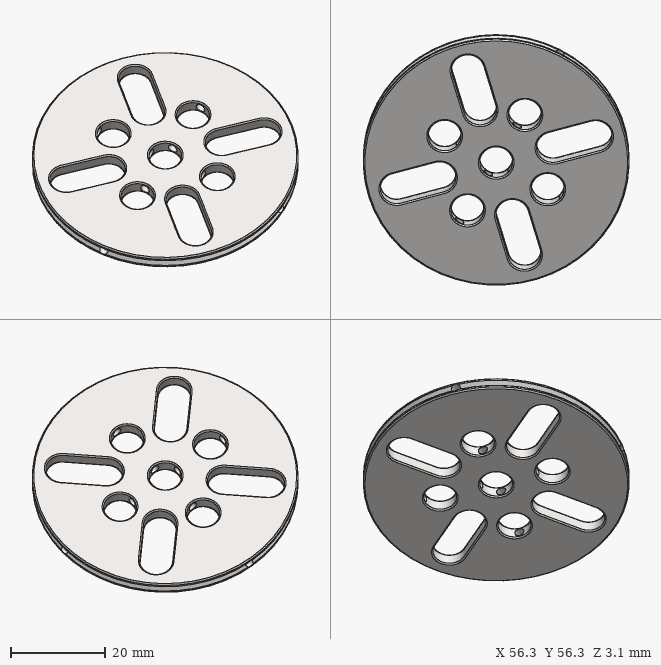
import cadquery as cq
import math

disc_diameter = 56.25
disc_thickness = 3.1
edge_chamfer = 0.3

groove_depth = 0.8

hole_diameter = 7.0
hole_pitch_radius = 12.5

slot_inner_radius = hole_pitch_radius
slot_outer_radius = 21.9

cross_bore_diameter = 2.0
bore_overrun = 0.55
bore_seam_angle = 30

quarter_turns = (0, 90, 180, 270)
diagonal_angle = 45

disc_radius = disc_diameter / 2
half_thickness = disc_thickness / 2
slot_mid_radius = (slot_inner_radius + slot_outer_radius) / 2
slot_length = slot_outer_radius - slot_inner_radius + hole_diameter


def turn_about_z(body, angle):
    """Turn a body about the disc axis."""
    return body.rotate((0, 0, 0), (0, 0, 1), angle)


def make_disc():
    """Disc with chamfered rims and the V groove at mid height."""
    face_radius = disc_radius - edge_chamfer
    rim_height = half_thickness - edge_chamfer
    section = cq.Workplane("XZ").polyline([
        (0, -half_thickness),
        (face_radius, -half_thickness),
        (disc_radius, -rim_height),
        (disc_radius, -groove_depth),
        (disc_radius - groove_depth, 0),
        (disc_radius, groove_depth),
        (disc_radius, rim_height),
        (face_radius, half_thickness),
        (0, half_thickness),
    ]).close()
    disc = section.revolve(360, (0, 0, 0), (0, 1, 0))
    return turn_about_z(disc, diagonal_angle)


def make_hole():
    """Cutter for one round hole, with its seam turned clear of the cross bores."""
    bottom = cq.Workplane("XY", origin=(0, 0, -half_thickness))
    hole = bottom.circle(hole_diameter / 2).extrude(disc_thickness)
    return turn_about_z(hole, diagonal_angle)


def make_slot():
    """Cutter for one slot lying along +X."""
    bottom = cq.Workplane("XY", origin=(slot_mid_radius, 0, -half_thickness))
    return bottom.slot2D(slot_length, hole_diameter).extrude(disc_thickness)


def cut_openings(body):
    """Cut the centre hole, the four outer holes and the four diagonal slots."""
    hole = make_hole()
    slot = make_slot()
    body = body.cut(hole)
    for angle in quarter_turns:
        x = hole_pitch_radius * math.cos(math.radians(angle))
        y = hole_pitch_radius * math.sin(math.radians(angle))
        body = body.cut(hole.translate((x, y, 0)))
        body = body.cut(turn_about_z(slot, angle + diagonal_angle))
    return body


def chamfer_openings(body):
    """Chamfer every hole and slot on both flat faces."""
    opening_edges = [
        edge
        for side in (">Z", "<Z")
        for wire in body.faces(side).val().innerWires()
        for edge in wire.Edges()
    ]
    return body.newObject(opening_edges).chamfer(edge_chamfer)


def cut_cross_bores(body):
    """Cut the two full-width bores that cross at the centre, at mid height."""
    bore_length = disc_diameter + 2 * bore_overrun
    start = cq.Workplane("YZ").workplane(offset=-bore_length / 2)
    bore = start.circle(cross_bore_diameter / 2).extrude(bore_length)
    bore = bore.rotate((0, 0, 0), (1, 0, 0), bore_seam_angle)
    for angle in (0, 90):
        body = body.cut(turn_about_z(bore, angle))
    return body


result = make_disc()
result = cut_openings(result)
result = chamfer_openings(result)
result = cut_cross_bores(result)